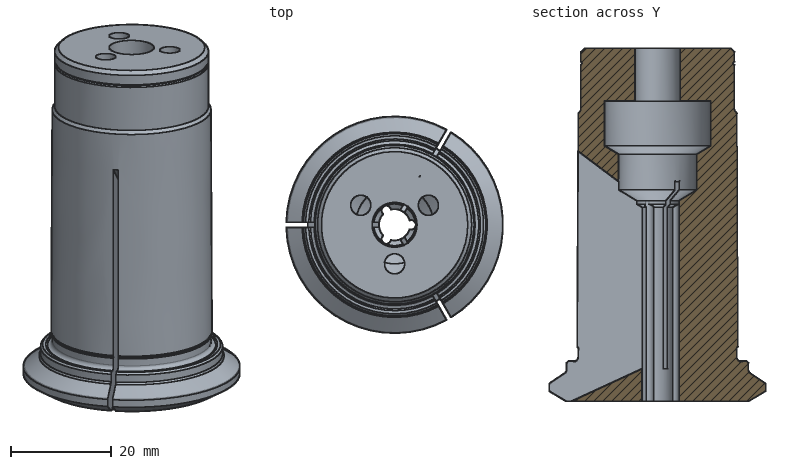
import cadquery as cq
import math

height = 70.0
flange_radius = 21.5
step_radius = 18.05
neck_radius = 15.75
body_foot_radius = 15.95
body_head_radius = 15.75
head_radius = 15.25

flange_edge_bottom = 2.0
flange_edge_top = 3.7
step_base = 5.7
step_top = 8.05
neck_top = 10.2
body_top = 57.05
groove_level = 67.0

flange_break = 0.2
step_chamfer = 0.4
step_fillet_height = 0.4
step_fillet_width = 0.3
relief_outer_radius = 17.0
relief_depth = 0.15
neck_fillet = 0.9
body_foot_chamfer_height = 0.4
body_foot_relief_depth = 0.15
body_foot_relief_height = 0.2
body_shoulder_chamfer = 0.7
groove_size = 0.3
head_chamfer = 0.8

count = 3

bore_radius = 3.1
pilot_radius = 4.1
pilot_depth = 0.7
drill_radius = 15.5 / 2
drill_shoulder = 41.9
drill_half_angle = math.radians(59)
cavity_radius = 21.0 / 2
cavity_floor = 49.0
cavity_ceiling = 59.5
end_hole_diameter = 8.9
small_hole_diameter = 4.0
small_hole_pitch_radius = drill_radius
first_small_hole_angle = 30

slot_width = 1.0
slot_overrun = 0.7
first_slot_angle = 60.0
slot_floor_inner_level = 6.5
slot_floor_foot_radius = 17.2
slot_end_outer_level = 49.55
slot_end_inner_level = 43.55
coolant_groove_radius = 0.9
coolant_groove_reach = 4.2


def outer_body():
    """Solid of revolution with the whole outer outline."""
    relief_floor = step_top - relief_depth
    body_foot_relief_level = neck_top + body_foot_relief_height
    fillet_middle = neck_fillet * (1 - math.sqrt(0.5))
    return (
        cq.Workplane("XZ")
        .lineTo(step_radius, 0)
        .lineTo(flange_radius, flange_edge_bottom)
        .lineTo(flange_radius, flange_edge_top - flange_break)
        .lineTo(flange_radius - flange_break, flange_edge_top)
        .lineTo(step_radius + step_fillet_width, step_base)
        .lineTo(step_radius, step_base + step_fillet_height)
        .lineTo(step_radius, step_top - step_chamfer)
        .lineTo(step_radius - step_chamfer, step_top)
        .lineTo(relief_outer_radius, step_top)
        .lineTo(neck_radius + neck_fillet, relief_floor)
        .threePointArc(
            (neck_radius + fillet_middle, relief_floor + fillet_middle),
            (neck_radius, relief_floor + neck_fillet),
        )
        .lineTo(neck_radius, neck_top)
        .lineTo(neck_radius - body_foot_relief_depth, body_foot_relief_level)
        .lineTo(body_foot_radius, body_foot_relief_level + body_foot_chamfer_height)
        .lineTo(body_head_radius, body_top)
        .lineTo(head_radius, body_top + body_shoulder_chamfer)
        .lineTo(head_radius, groove_level - groove_size)
        .lineTo(head_radius - groove_size, groove_level)
        .lineTo(head_radius, groove_level + groove_size)
        .lineTo(head_radius, height - head_chamfer)
        .lineTo(head_radius - head_chamfer, height)
        .lineTo(0, height)
        .close()
        .revolve(360, (0, 0, 0), (0, 1, 0))
    )


def drill_rise(inner_radius, outer_radius):
    """Height of a drill-point cone between two radii."""
    return (outer_radius - inner_radius) / math.tan(drill_half_angle)


def inner_cavity():
    """Clamping bore and short pilot opening through drill cones into the wide cavity."""
    pilot_top = drill_shoulder - drill_rise(pilot_radius, drill_radius)
    pilot_bottom = pilot_top - pilot_depth
    bore_top = pilot_bottom - drill_rise(bore_radius, pilot_radius)
    cavity_cone_top = cavity_floor + drill_rise(drill_radius, cavity_radius)
    return (
        cq.Workplane("XZ")
        .lineTo(bore_radius, 0)
        .lineTo(bore_radius, bore_top)
        .lineTo(pilot_radius, pilot_bottom)
        .lineTo(pilot_radius, pilot_top)
        .lineTo(drill_radius, drill_shoulder)
        .lineTo(drill_radius, cavity_floor)
        .lineTo(cavity_radius, cavity_cone_top)
        .lineTo(cavity_radius, cavity_ceiling)
        .lineTo(0, cavity_ceiling)
        .close()
        .revolve(360, (0, 0, 0), (0, 1, 0))
    )


def end_wall_holes():
    """Central hole and three small holes from the top face into the cavity."""
    depth = height - cavity_ceiling
    top = cq.Workplane("XY").workplane(offset=height)
    center = top.circle(end_hole_diameter / 2).extrude(-depth)
    small = (
        top.polarArray(small_hole_pitch_radius, first_small_hole_angle, 360, count)
        .circle(small_hole_diameter / 2)
        .extrude(-depth)
    )
    return center.union(small)


def slot_cutter():
    """One slot with a sloping floor and a sloping upper end, lying along +X."""
    floor_slope = slot_floor_inner_level / (slot_floor_foot_radius - bore_radius)
    end_slope = (slot_end_outer_level - slot_end_inner_level) / (neck_radius - drill_radius)
    outer = flange_radius + slot_overrun
    return (
        cq.Workplane("XZ")
        .moveTo(0, slot_floor_inner_level + floor_slope * bore_radius)
        .lineTo(outer, floor_slope * (slot_floor_foot_radius - outer))
        .lineTo(outer, slot_end_outer_level + end_slope * (outer - neck_radius))
        .lineTo(0, slot_end_outer_level - end_slope * neck_radius)
        .close()
        .extrude(slot_width / 2, both=True)
    )


def coolant_grooves():
    """Round-bottomed grooves along the bore, midway between the slots."""
    return (
        cq.Workplane("XY")
        .polarArray(coolant_groove_reach - coolant_groove_radius, 0, 360, count)
        .circle(coolant_groove_radius)
        .extrude(drill_shoulder)
    )


result = outer_body().cut(inner_cavity()).cut(end_wall_holes()).cut(coolant_grooves())
for i in range(count):
    angle = first_slot_angle + i * 360 / count
    result = result.cut(slot_cutter().rotate((0, 0, 0), (0, 0, 1), angle))